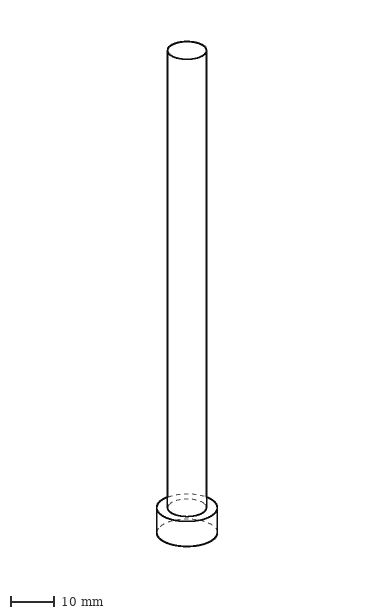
import cadquery as cq

total_length = 125.0
head_diameter = 14.0
head_height = 6.5
shank_diameter = 9.0

head = cq.Workplane("XY").circle(head_diameter / 2).extrude(head_height)
shank = cq.Workplane("XY").circle(shank_diameter / 2).extrude(total_length)

result = head.union(shank)